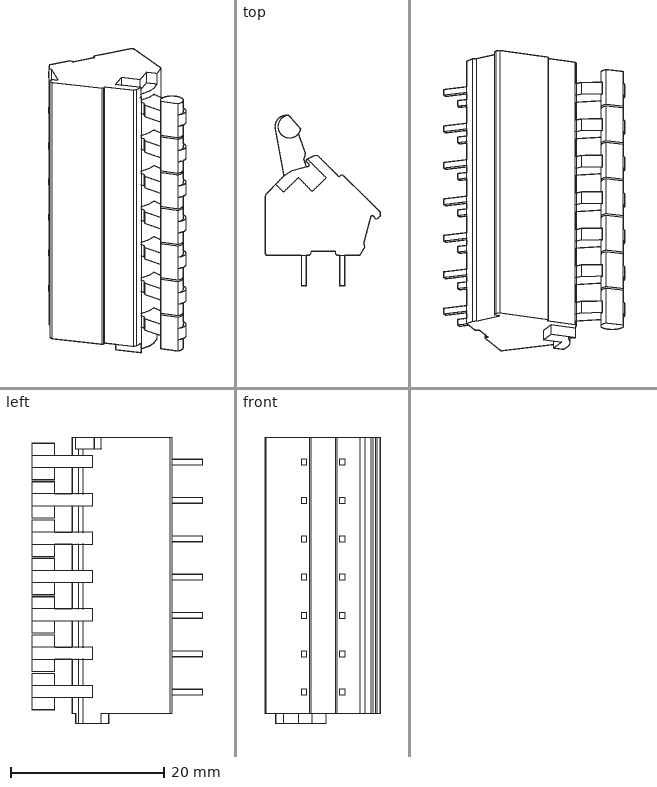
import cadquery as cq
import math


housing_width = 15.0
housing_length = 36.0
back_height = 7.87
crest_height = 13.0
base_right = 12.35
back_corner_radius = 0.52
base_bevel_width = 0.1
base_bevel_height = 0.25

relief_left = 5.95
relief_right = 9.15
relief_depth = 0.52
relief_chamfer = 0.22

pole_count = 7
pole_pitch = 5.0
first_pin_z = 2.8
first_lever_z = 2.87

first_pin_row_x = 5.05
pin_row_count = 2
pin_row_spacing = pole_pitch
pin_width = 0.67
pin_thickness = 0.8
pin_length = 4.0
pin_embedment = 0.75

lever_thickness = 1.6
head_radius = 1.5
head_x = 2.75
head_y = 16.8
lever_foot_left = (2.42, 10.37)
lever_foot_depth = 1.12

roller_x = 3.17
roller_length = 4.77
flat_start_x = 3.05
flat_end_y = 16.45

stub_length = 1.3
socket_depth = 1.5


def prism(bottom_z, height, points):
    """Extrude a closed straight-sided outline along Z."""
    return cq.Workplane("XY").workplane(offset=bottom_z).polyline(points).close().extrude(height)


def make_housing():
    profile = (
        cq.Workplane("XY")
        .moveTo(base_bevel_width, 0)
        .lineTo(relief_left - relief_chamfer, 0)
        .lineTo(relief_left, relief_chamfer)
        .lineTo(relief_left, relief_depth)
        .lineTo(relief_right, relief_depth)
        .lineTo(relief_right, relief_chamfer)
        .lineTo(relief_right + relief_chamfer, 0)
        .lineTo(base_right, 0)
        .lineTo(12.98, 1.1)
        .lineTo(12.85, 1.6)
        .lineTo(13.8, 5.15)
        .lineTo(14.05, 5.15)
        .lineTo(14.4, 4.75)
        .lineTo(14.6, 4.75)
        .lineTo(housing_width, 5.1)
        .lineTo(housing_width, 5.67)
        .lineTo(10.1, 10.48)
        .lineTo(9.9, 10.48)
        .lineTo(9.62, 10.25)
        .lineTo(6.83, crest_height)
        .lineTo(6.38, crest_height)
        .lineTo(5.52, 12.57)
        .threePointArc((5.35, 12.4), (5.37, 12.2))
        .lineTo(5.65, 11.97)
        .threePointArc((5.7, 11.8), (5.6, 11.6))
        .lineTo(3.5, 11.05)
        .lineTo(2.45, 10.4)
        .lineTo(0, back_height)
        .lineTo(0, base_bevel_height)
        .close()
    )
    housing = profile.extrude(housing_length)
    back_corner = cq.selectors.NearestToPointSelector((0, back_height, housing_length / 2))
    return housing.edges(back_corner).fillet(back_corner_radius)


def make_interlock(z, height):
    """Stepped zigzag block reaching beyond the lever seat."""
    zigzag = [
        (1.0, 9.62),
        (2.4, 8.25),
        (4.33, 10.15),
        (6.1, 8.3),
        (7.95, 10.1),
        (5.5, 12.57),
        (1.0, 12.57),
    ]
    return prism(z, height, zigzag)


def make_chord_cutter(z, height):
    """Material beyond the flat across the upper right of the lever head and roller."""
    top = (flat_start_x, head_y + head_radius)
    right = (roller_x + head_radius, flat_end_y)
    corner = (right[0], top[1])
    return prism(z, height, [top, right, corner])


def make_lever(lever_z):
    arm_z = lever_z - lever_thickness / 2
    roller_z = lever_z - roller_length / 2

    foot_dx = lever_foot_left[0] - head_x
    foot_dy = lever_foot_left[1] - head_y
    foot_distance = math.hypot(foot_dx, foot_dy)
    tangent_angle = math.atan2(foot_dy, foot_dx) - math.acos(head_radius / foot_distance)
    tangent = (
        head_x + head_radius * math.cos(tangent_angle),
        head_y + head_radius * math.sin(tangent_angle),
    )
    arm_outline = [
        (head_x, head_y),
        tangent,
        lever_foot_left,
        (lever_foot_left[0] + lever_foot_depth, lever_foot_left[1] - lever_foot_depth),
        (5.35, 10.48),
        (5.35, 11.67),
        (5.05, 12.5),
        (5.25, 13.28),
        (4.35, 15.8),
    ]
    arm = prism(arm_z, lever_thickness, arm_outline)
    head = cq.Workplane("XY").workplane(offset=arm_z)
    head = head.center(head_x, head_y).circle(head_radius).extrude(lever_thickness)
    roller = cq.Workplane("XY").workplane(offset=roller_z)
    roller = roller.center(roller_x, head_y).circle(head_radius).extrude(roller_length)
    return arm.union(head).union(roller).cut(make_chord_cutter(roller_z, roller_length))


def make_pin(pin_x, pin_z):
    pin = cq.Workplane("XY").box(
        pin_width, pin_length + pin_embedment, pin_thickness, centered=(True, False, True)
    )
    return pin.translate((pin_x, -pin_length, pin_z))


housing = make_housing()

stub = housing.intersect(make_interlock(0, stub_length)).translate((0, 0, -stub_length))
socket = make_interlock(housing_length - socket_depth, socket_depth)
result = housing.union(stub).cut(socket)

for pole in range(pole_count):
    pole_offset = pole * pole_pitch
    result = result.union(make_lever(first_lever_z + pole_offset))
    for row in range(pin_row_count):
        pin_x = first_pin_row_x + row * pin_row_spacing
        result = result.union(make_pin(pin_x, first_pin_z + pole_offset))